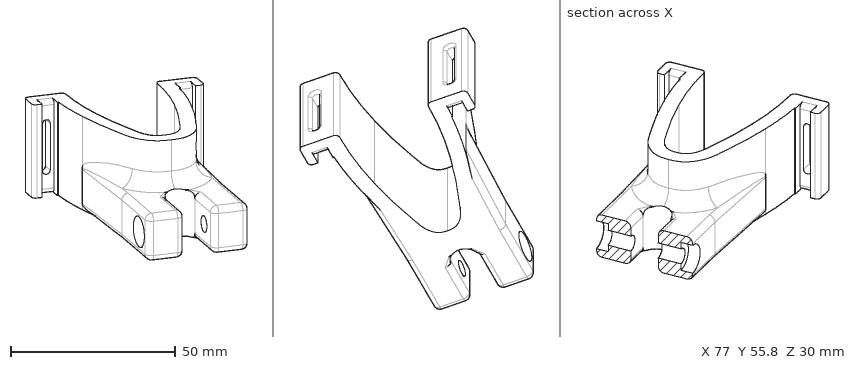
import cadquery as cq
import math

bow_height = 30.0
wall = 5.0
arm_half_gap = 14.8
apex_x = 48.5
arm_angle = 12.0
arm_radius = 100.0
arm_start_x = 1.5
bend_waypoints = [(34.5, 9.55), (41.0, 7.45), (45.2, 5.75), (47.7, 3.4)]
bend_steps = 8

clip_length = 7.9
clip_half_width = 27.9
clip_floor = 5.0
clip_corner = 1.5
lip_corner = 1.3
lip_inner_y = 24.95
strap_roll = 1.6
pocket_width = 5.0
slot_width = 2.5
slot_length = 17.5
slot_rounding = 1.0
slot_y = lip_inner_y - pocket_width / 2

fork_end_x = 77.0
fork_height = 15.0
fork_half_width = 16.5
fork_taper_end_x = 54.8
fork_root_lead = 0.2
fork_root_step = 0.1
fork_rounding = 2.0
gap_half_width = 4.65
gap_center_x = 61.5
neck_fillet = 5.0
fade_x = 3.6
fade_y = 2.9

bolt_inset = 7.5
bolt_diameter = 5.1
head_diameter = 9.6
head_depth = 4.0

margin = 0.1

slope = math.radians(arm_angle)
bend_start = (
    arm_start_x + arm_radius * math.sin(slope),
    arm_half_gap - arm_radius * (1 - math.cos(slope)),
)
bend_start_outer = (
    bend_start[0] + wall * math.sin(slope),
    bend_start[1] + wall * math.cos(slope),
)


def mirrored(points):
    return [(x, -y) for x, y in reversed(points)]


def bend_points(offset):
    """Points along the upper half of the bend, moved outwards by the offset."""
    start_direction = cq.Vector(math.cos(slope), -math.sin(slope))
    knots = [cq.Vector(*p) for p in [bend_start] + bend_waypoints + [(apex_x, 0)]]
    curve = cq.Edge.makeSpline(knots, tangents=[start_direction, cq.Vector(0, -1)])
    points = []
    for i in range(bend_steps + 1):
        position = curve.positionAt(i / bend_steps)
        tangent = curve.tangentAt(i / bend_steps)
        points.append((position.x - offset * tangent.y, position.y + offset * tangent.x))
    return points


def bow_area(offset):
    """Closed outline bounded by one face of the wall and a straight line across the opening."""
    radius = arm_radius + offset
    half_gap = arm_half_gap + offset
    upper = bend_points(offset)
    mid_arc = (
        arm_start_x + radius * math.sin(slope / 2),
        half_gap - radius * (1 - math.cos(slope / 2)),
    )
    down_slope = (math.cos(slope), -math.sin(slope))
    return (
        cq.Workplane("XY")
        .moveTo(arm_start_x, -half_gap)
        .lineTo(arm_start_x, half_gap)
        .threePointArc(mid_arc, upper[0])
        .spline(upper[1:], tangents=[down_slope, (0, -1)], includeCurrent=True)
        .spline(
            mirrored(upper)[1:],
            tangents=[(0, -1), (-down_slope[0], down_slope[1])],
            includeCurrent=True,
        )
        .threePointArc((mid_arc[0], -mid_arc[1]), (arm_start_x, -half_gap))
        .close()
    )


def make_clip():
    """Hook at the +Y arm end, without its strap slot."""
    plate = (
        cq.Workplane("XY")
        .box(clip_length, clip_half_width - arm_half_gap, bow_height, centered=False)
        .translate((0, arm_half_gap, 0))
    )
    pocket = (
        cq.Workplane("XY")
        .box(clip_length, pocket_width, bow_height, centered=False)
        .translate((clip_floor, lip_inner_y - pocket_width, 0))
    )
    clip = plate.edges("|Z and <X").fillet(clip_corner)
    clip = clip.edges("|Z and >X and >Y").fillet(lip_corner)
    clip = clip.cut(pocket)
    rolled = cq.selectors.BoxSelector(
        (clip_floor - margin, lip_inner_y - pocket_width, -margin),
        (clip_floor + margin, lip_inner_y, bow_height + margin),
    )
    return clip.edges(rolled).edges("|Y").fillet(strap_roll)


def make_fork():
    """Fork block with its outer edges rounded, before the gap is cut."""
    root_x = bend_start_outer[0] - fork_root_lead
    root_y = bend_start_outer[1] + fork_root_step
    upper_side = [
        (root_x, root_y),
        (fork_taper_end_x, fork_half_width),
        (fork_end_x, fork_half_width),
    ]
    block = cq.Workplane("XY").polyline(upper_side + mirrored(upper_side)).close().extrude(fork_height)
    return block.edges("(not |Z) or (|Z and >X)").edges("not <X").fillet(fork_rounding)


def upper_half():
    """Block covering everything on the +Y side."""
    reach = 2 * fork_end_x
    return cq.Workplane("XY").box(reach, reach, reach).translate((0, reach / 2, 0))


def make_half_body():
    """+Y half of the bow and fork, blended together by the neck fillet."""
    bow = bow_area(wall).extrude(bow_height)
    body = bow.union(make_fork()).intersect(upper_half())
    neck_zone = cq.selectors.BoxSelector(
        (bend_start_outer[0], -margin, fork_height - margin),
        (apex_x + wall + margin, fork_half_width, fork_height + margin),
        boundingbox=True,
    )
    return body.edges(neck_zone).edges("%BSPLINE").fillet(neck_fillet)


def cut_gap(body):
    """Open the gap between the prongs, round its long edges and its mouth, then its blind end."""
    length = fork_end_x - gap_center_x
    channel = (
        cq.Workplane("XY")
        .box(length, 2 * gap_half_width, bow_height, centered=(False, True, False))
        .translate((gap_center_x, 0, 0))
    )
    body = body.cut(channel)
    prong_sides = cq.selectors.BoxSelector(
        (gap_center_x + margin, -gap_half_width - margin, -margin),
        (fork_end_x + margin, gap_half_width + margin, fork_height + margin),
    )
    body = body.edges(prong_sides).edges("|X or (|Z and >X)").fillet(fork_rounding)
    blind_end = cq.Workplane("XY").center(gap_center_x, 0).circle(gap_half_width).extrude(bow_height)
    body = body.cut(blind_end)
    fade = make_rounding_fade()
    low_fade = fade.mirror("XY", (0, 0, fork_height / 2))
    for cutter in (fade, low_fade):
        body = body.cut(cutter).cut(cutter.mirror("XZ"))
    return body


def make_rounding_fade():
    """Cutter carrying the +Y upper gap rounding obliquely into the blind end, where it runs out."""
    shoulder_z = fork_height - fork_rounding
    mid_arc = (
        gap_half_width + fork_rounding * (1 - math.sqrt(0.5)),
        shoulder_z + fork_rounding * math.sqrt(0.5),
    )
    profile = (
        cq.Workplane("YZ", origin=(gap_center_x, 0, 0))
        .moveTo(gap_half_width / 2, shoulder_z)
        .lineTo(gap_half_width, shoulder_z)
        .threePointArc(mid_arc, (gap_half_width + fork_rounding, fork_height))
        .lineTo(gap_half_width / 2, fork_height)
        .close()
    )
    face = cq.Face.makeFromWires(profile.val())
    return cq.Workplane(cq.Solid.extrudeLinear(face, cq.Vector(-fade_x, -fade_y, 0)))


def cut_strap_slot(clip):
    """Strap slot through the clip plate, with its -X mouth rounded over."""
    slot = (
        cq.Workplane("YZ", origin=(0, slot_y, bow_height / 2))
        .slot2D(slot_length, slot_width, 90)
        .extrude(clip_length)
    )
    lip_front = cq.selectors.BoxSelector(
        (-margin, slot_y - slot_width, slot_rounding),
        (margin, slot_y + slot_width, bow_height - slot_rounding),
    )
    return clip.cut(slot).edges(lip_front).fillet(slot_rounding)


def make_bolt_hole():
    """Cross hole along Y with a head recess in the outer side of each prong."""
    center = (fork_end_x - bolt_inset, fork_height / 2)
    plane = cq.Workplane("XZ", origin=(0, fork_half_width, 0)).center(*center)
    width = 2 * fork_half_width
    hole = plane.circle(bolt_diameter / 2).extrude(width)
    near_head = plane.circle(head_diameter / 2).extrude(head_depth)
    far_head = near_head.mirror("XZ")
    return hole.union(near_head).union(far_head)


clip = cut_strap_slot(make_clip())
half = make_half_body().union(clip).cut(bow_area(0).extrude(bow_height))
body = half.union(half.mirror("XZ"))
result = cut_gap(body).cut(make_bolt_hole())